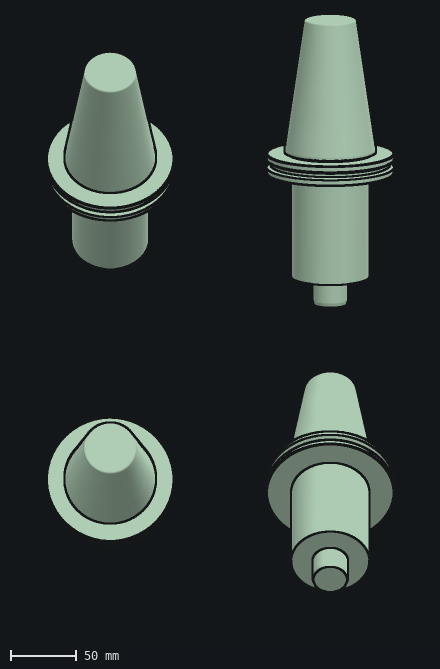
import cadquery as cq

total_height = 222.5
pilot_length = 21.4
flange_bottom = 102.5
flange_height = 15.4
neck_height = 1.3
collar_height = 2.2

pilot_diameter = 27.4
body_diameter = 59.9
flange_diameter = 97.5
groove_diameter = 91.0
neck_diameter = 65.0
gauge_diameter = 70.1

pilot_chamfer_height = 3.3
pilot_chamfer_inset = 1.0
rim_chamfer = 0.5
groove_floor_width = 2.7
groove_mouth_width = 6.2
top_fillet = 1.8
taper_ratio = 7 / 24

flange_top = flange_bottom + flange_height
collar_bottom = flange_top + neck_height
taper_base = collar_bottom + collar_height
taper_length = total_height - taper_base
top_diameter = gauge_diameter - taper_ratio * taper_length


def cylinder(diameter, bottom, top):
    """Solid cylinder on the Z axis between two heights."""
    return cq.Workplane("XY").workplane(offset=bottom).circle(diameter / 2).extrude(top - bottom)


def make_pilot():
    """Pilot pin with a steep chamfer at its lower end."""
    pilot = cylinder(pilot_diameter, 0, pilot_length)
    return pilot.edges("<Z").chamfer(pilot_chamfer_height, pilot_chamfer_inset)


def make_groove_cutter():
    """Ring that cuts the V-sided groove around the flange rim."""
    middle = flange_bottom + flange_height / 2
    floor_radius = groove_diameter / 2
    rim_radius = flange_diameter / 2
    return (
        cq.Workplane("XZ")
        .moveTo(floor_radius, middle - groove_floor_width / 2)
        .lineTo(rim_radius, middle - groove_mouth_width / 2)
        .lineTo(rim_radius, middle + groove_mouth_width / 2)
        .lineTo(floor_radius, middle + groove_floor_width / 2)
        .close()
        .revolve(360, (0, 0, 0), (0, 1, 0))
    )


def make_flange():
    """Flange with chamfered outer edges and a gripper groove."""
    disc = cylinder(flange_diameter, flange_bottom, flange_top)
    return disc.edges("<Z or >Z").chamfer(rim_chamfer).cut(make_groove_cutter())


def make_taper():
    """Steep-taper shank, rounded at its small end."""
    return (
        cq.Workplane("XY")
        .workplane(offset=taper_base)
        .circle(gauge_diameter / 2)
        .workplane(offset=taper_length)
        .circle(top_diameter / 2)
        .loft()
        .edges(">Z")
        .fillet(top_fillet)
    )


body = cylinder(body_diameter, pilot_length, flange_bottom)
neck = cylinder(neck_diameter, flange_top, collar_bottom)
collar = cylinder(gauge_diameter, collar_bottom, taper_base)

result = (
    make_pilot()
    .union(body)
    .union(make_flange())
    .union(neck)
    .union(collar)
    .union(make_taper())
)